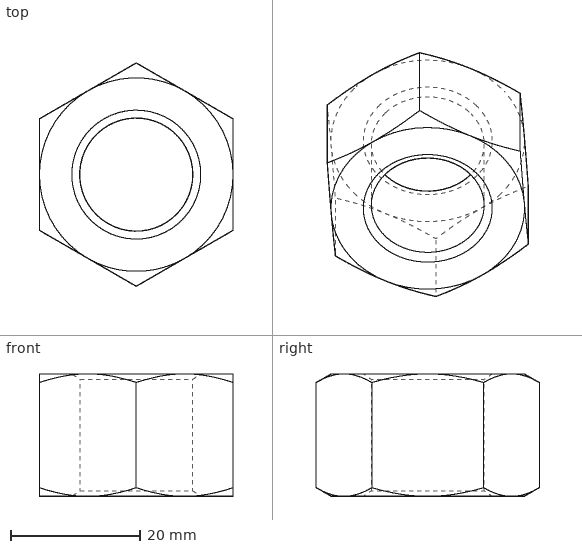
import cadquery as cq
import math

across_corners = 34.65
height = 19.0
bore_diameter = 17.5
countersink_diameter = 20.0
countersink_depth = 0.85
chamfer_angle = math.radians(30)

corner_radius = across_corners / 2
flat_radius = corner_radius * math.cos(math.pi / 6)
bore_radius = bore_diameter / 2
countersink_radius = countersink_diameter / 2
corner_drop = (corner_radius - flat_radius) * math.tan(chamfer_angle)


def hex_prism():
    """Hexagonal bar centred on the origin, with corners on the Y axis."""
    prism = cq.Workplane("XY").polygon(6, across_corners).extrude(height / 2, both=True)
    return prism.rotate((0, 0, 0), (0, 0, 1), 90)


def turned_envelope():
    """Ring with conical outer edges and a bore countersunk at both ends."""
    half_height = height / 2
    side_top = half_height - corner_drop
    bore_top = half_height - countersink_depth
    section = (
        cq.Workplane("XZ")
        .moveTo(bore_radius, -bore_top)
        .lineTo(countersink_radius, -half_height)
        .lineTo(flat_radius, -half_height)
        .lineTo(corner_radius, -side_top)
        .lineTo(corner_radius, side_top)
        .lineTo(flat_radius, half_height)
        .lineTo(countersink_radius, half_height)
        .lineTo(bore_radius, bore_top)
        .close()
    )
    return section.revolve(360, (0, 0, 0), (0, 1, 0))


result = hex_prism().intersect(turned_envelope())